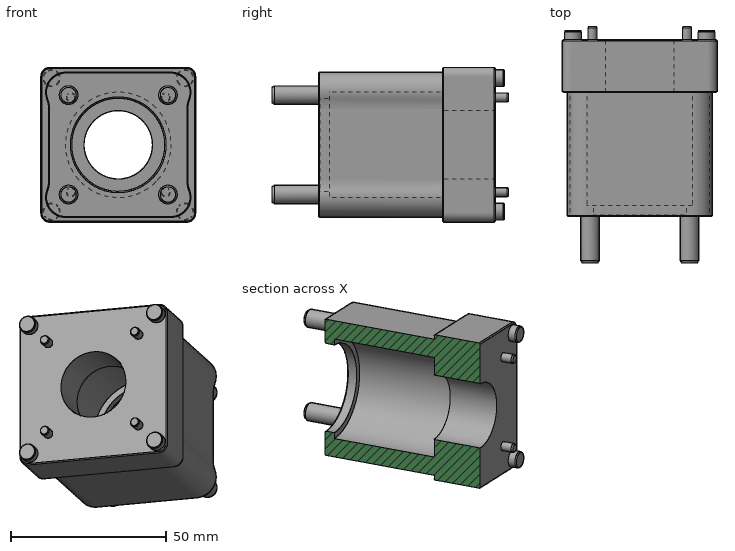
import cadquery as cq
import math


overall_length = 76.3
cover_side = 50.0

body_length = 40.0
body_side = 46.85
body_corner_radius = 6.5
waist_depth = 1.0
waist_blend_radius = 9.15
body_edge_chamfer = 0.3

cover_length = 17.0
cover_corner_radius = 3.0
cover_edge_chamfer = 0.4

mouth_diameter = 30.0
mouth_length = 3.5
mouth_chamfer = 0.45
chamber_diameter = 34.0
cover_bore_diameter = 22.0

stud_length = 15.0
stud_diameter = 6.0
stud_offset = 16.0
stud_tip_length = 0.85
stud_tip_inset = 0.5

head_height = 2.9
head_diameter = 5.5
head_offset = 21.5
head_tip_length = 0.45
head_tip_inset = 0.2

pin_length = overall_length - stud_length - body_length - cover_length
pin_diameter = 3.0
pin_offset = 15.25
pin_tip_length = 0.5
pin_tip_inset = 0.2

cover_back = body_length + cover_length
root_overlap = 0.8


def xz_plane(y):
    """Plane at the given Y with local x = X, local y = Z and normal = -Y."""
    return cq.Workplane("XZ", origin=(0, y, 0))


def turned(half_section):
    """Solid of revolution about the Y axis from (radius, y) points."""
    return cq.Workplane("XY").polyline(half_section).close().revolve(360, (0, 0), (0, 1))


def body_outline():
    """Square with round corners whose left and right sides are waisted."""
    half = body_side / 2
    waist_x = half - waist_depth
    radius = body_corner_radius
    centre = half - radius

    arc_sum = radius + waist_blend_radius
    meet_angle = math.acos(1 - waist_depth / arc_sum)
    blend_centre_x = waist_x + waist_blend_radius
    blend_centre_z = centre - arc_sum * math.sin(meet_angle)

    def on_corner(angle):
        return centre + radius * math.cos(angle), centre + radius * math.sin(angle)

    def on_blend(angle):
        x = blend_centre_x - waist_blend_radius * math.cos(angle)
        z = blend_centre_z + waist_blend_radius * math.sin(angle)
        return x, z

    waist_end = on_blend(0)
    blend_mid = on_blend(meet_angle / 2)
    meeting = on_corner(-meet_angle)
    corner_mid = on_corner(math.pi / 4 - meet_angle / 2)
    top_end = on_corner(math.pi / 2)

    corner = [waist_end, blend_mid, meeting, corner_mid, top_end]
    outline = xz_plane(body_length).moveTo(waist_end[0], -waist_end[1])
    for side_x, side_z in ((1, 1), (-1, 1), (-1, -1), (1, -1)):
        points = [(side_x * x, side_z * z) for x, z in corner]
        if side_x != side_z:
            points.reverse()
        outline = outline.lineTo(*points[0])
        outline = outline.threePointArc(points[1], points[2])
        outline = outline.threePointArc(points[3], points[4])
    return outline.close()


def make_body():
    """Waisted block with its front edges chamfered."""
    block = body_outline().extrude(body_length)
    return block.faces("<Y").chamfer(body_edge_chamfer)


def make_cover():
    """Square plate with rounded corners, chamfered front and back."""
    block = xz_plane(cover_back).rect(cover_side, cover_side).extrude(cover_length)
    block = block.edges("|Y").fillet(cover_corner_radius)
    return block.faces("<Y or >Y").chamfer(cover_edge_chamfer)


def make_bore():
    """Chamfered mouth, wider chamber behind it and a narrower bore through the cover."""
    mouth_radius = mouth_diameter / 2
    chamber_radius = chamber_diameter / 2
    cover_bore_radius = cover_bore_diameter / 2
    half_section = [
        (0, 0),
        (mouth_radius + mouth_chamfer, 0),
        (mouth_radius, mouth_chamfer),
        (mouth_radius, mouth_length),
        (chamber_radius, mouth_length),
        (chamber_radius, body_length),
        (cover_bore_radius, body_length),
        (cover_bore_radius, cover_back),
        (0, cover_back),
    ]
    return turned(half_section)


def four_pegs(diameter, length, offset, face_y, outward, tip_length, tip_inset):
    """Four tapered-tip pegs standing on a face; outward is the Y sign they point to."""
    radius = diameter / 2
    root_y = face_y - outward * root_overlap
    end_y = face_y + outward * length
    half_section = [
        (0, root_y),
        (radius, root_y),
        (radius, end_y - outward * tip_length),
        (radius - tip_inset, end_y),
        (0, end_y),
    ]
    peg = turned(half_section)
    corners = [(x, 0, z) for x in (-offset, offset) for z in (-offset, offset)]
    return [peg.translate(corner) for corner in corners]


studs = four_pegs(stud_diameter, stud_length, stud_offset, 0, -1, stud_tip_length, stud_tip_inset)
heads = four_pegs(head_diameter, head_height, head_offset, cover_back, 1, head_tip_length, head_tip_inset)
pins = four_pegs(pin_diameter, pin_length, pin_offset, cover_back, 1, pin_tip_length, pin_tip_inset)

result = make_body().union(make_cover()).cut(make_bore())
for peg in studs + heads + pins:
    result = result.union(peg)